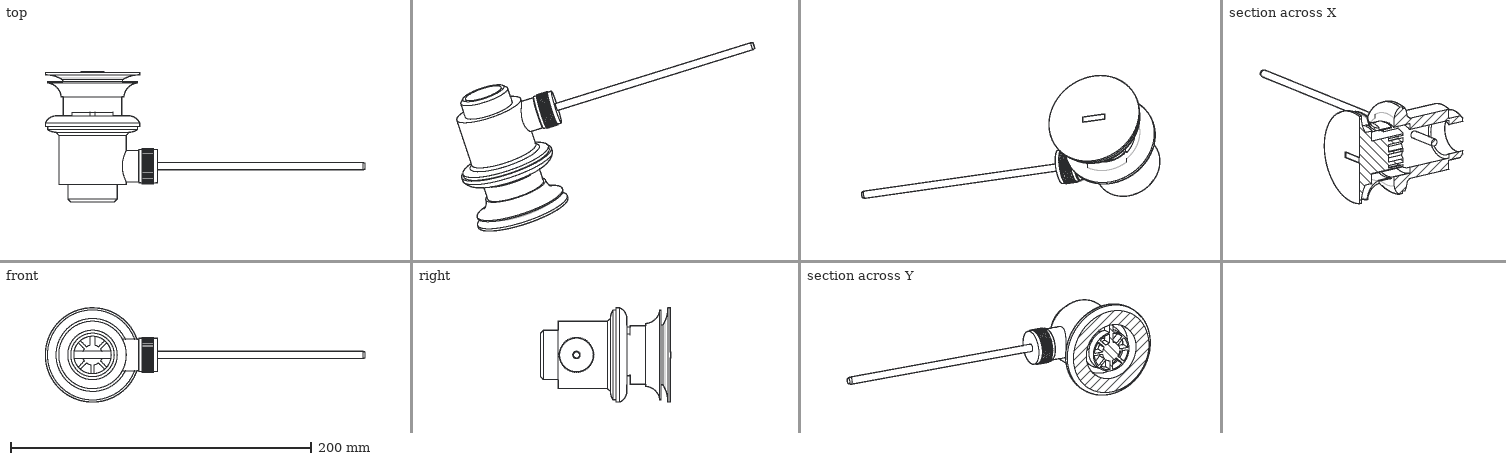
import cadquery as cq
import math


outlet_chamfer = 2.0
shoulder_y = 11.8
flare_start_y = 44.5
flare_end_y = 46.5
collar_bottom_y = 48.3
rim_bottom_y = 50.3
rim_top_y = 52.8
dome_top_y = 57.6
window_top_y = 59.8
funnel_bottom_y = 70.1
funnel_lip_y = 79.4
funnel_top_y = 80.3
cap_bottom_y = 84.8
cap_top_y = 86.5
total_height = 87.0

outlet_radius = 16.5
outlet_bore_radius = 12.5
body_radius = 22.5
flare_radius = 24.3
collar_radius = 30.0
rim_radius = 31.5
dome_top_radius = 23.0
tube_radius = 19.6
tube_bore_radius = 18.7
chamber_radius = 15.0
funnel_foot_radius = 21.0
funnel_lip_radius = 30.0
funnel_wall = 0.9

window_width = 27.4

lever_y = 24.0
arm_radius = 10.6
arm_end_x = 30.6
nut_radius = 11.2
nut_chamfer = 0.5
nut_end_x = 43.4
knurl_start_x = 33.1
knurl_end_x = 40.8
knurl_radius = 11.7
knurl_teeth = 60
lever_radius = 2.5
total_length = 213.14
lever_tip_x = total_length - rim_radius
lever_inner_x = -14.0
lever_tip_bevel_length = 1.5
lever_tip_bevel_depth = 0.5

cap_radius = rim_radius
cap_foot_radius = 22.5
cap_foot_y = 82.9
neck_flare_radius = 20.3
neck_top_y = 81.7
neck_radius = 20.0
neck_bottom_y = 76.0
cup_radius = 13.7
cup_bottom_y = 50.0
cup_floor_y = 62.0
hub_radius = 6.7
rib_count = 8
rib_width = 2.0
key_width = 3.2
key_radius = 18.6
badge_length = 15.4
badge_width = 3.8


def bulge_point(start, end, sagitta):
    """Mid-point of an arc from start to end, sagitta to the left of the chord."""
    dx = end[0] - start[0]
    dy = end[1] - start[1]
    chord = math.hypot(dx, dy)
    mid_x = (start[0] + end[0]) / 2 - sagitta * dy / chord
    mid_y = (start[1] + end[1]) / 2 + sagitta * dx / chord
    return (mid_x, mid_y)


def disc_y(radius, y_start, y_end):
    """Cylinder on the drain axis."""
    return cq.Workplane("XZ", origin=(0, y_start, 0)).circle(radius).extrude(y_start - y_end)


def rod_x(radius, x_start, x_end):
    """Cylinder on the lever axis."""
    return cq.Workplane("YZ", origin=(x_start, lever_y, 0)).circle(radius).extrude(x_end - x_start)


def housing_shell():
    """Outlet, body, collar, tube and funnel turned as one shape with the bore left open."""
    flare_end = (flare_radius, flare_end_y)
    collar_edge = (collar_radius, collar_bottom_y)
    dome_start = (rim_radius, rim_top_y)
    dome_end = (dome_top_radius, dome_top_y)
    foot = (funnel_foot_radius, funnel_bottom_y)
    lip = (funnel_lip_radius, funnel_lip_y)
    inner_lip = (funnel_lip_radius - funnel_wall, funnel_top_y)
    inner_foot = (tube_bore_radius, funnel_bottom_y)
    collar_sagitta = -0.4
    dome_sagitta = -1.6
    funnel_sagitta = 2.4
    profile = (
        cq.Workplane("XY")
        .moveTo(outlet_bore_radius, 0)
        .lineTo(outlet_radius - outlet_chamfer, 0)
        .lineTo(outlet_radius, outlet_chamfer)
        .lineTo(outlet_radius, shoulder_y)
        .lineTo(body_radius, shoulder_y)
        .lineTo(body_radius, flare_start_y)
        .lineTo(*flare_end)
        .threePointArc(bulge_point(flare_end, collar_edge, collar_sagitta), collar_edge)
        .lineTo(collar_radius, rim_bottom_y)
        .lineTo(rim_radius, rim_bottom_y)
        .lineTo(*dome_start)
        .threePointArc(bulge_point(dome_start, dome_end, dome_sagitta), dome_end)
        .lineTo(tube_radius, dome_top_y)
        .lineTo(tube_radius, funnel_bottom_y)
        .lineTo(*foot)
        .threePointArc(bulge_point(foot, lip, funnel_sagitta), lip)
        .lineTo(funnel_lip_radius, funnel_top_y)
        .lineTo(*inner_lip)
        .threePointArc(bulge_point(inner_lip, inner_foot, -funnel_sagitta), inner_foot)
        .lineTo(tube_bore_radius, flare_start_y)
        .lineTo(chamber_radius, flare_start_y)
        .lineTo(chamber_radius, shoulder_y)
        .lineTo(outlet_bore_radius, shoulder_y)
        .close()
    )
    return profile.revolve(360, (0, 0, 0), (0, 1, 0))


def overflow_windows():
    """One cutter passing through the tube wall on the +Z and -Z sides."""
    height = window_top_y - dome_top_y
    return (
        cq.Workplane("XY")
        .box(window_width, height, 2 * rim_radius)
        .translate((0, dome_top_y + height / 2, 0))
    )


def knurled_band():
    """Ring of pointed teeth around the nut."""
    points = []
    for step in range(2 * knurl_teeth):
        angle = math.pi * step / knurl_teeth
        radius = knurl_radius if step % 2 == 0 else nut_radius
        points.append((radius * math.cos(angle), radius * math.sin(angle)))
    band = cq.Workplane("YZ", origin=(knurl_start_x, lever_y, 0)).polyline(points).close()
    return band.extrude(knurl_end_x - knurl_start_x)


def lever():
    """Straight rod with a beveled free end."""
    profile = (
        cq.Workplane("XY")
        .moveTo(lever_inner_x, lever_y)
        .lineTo(lever_inner_x, lever_y + lever_radius)
        .lineTo(lever_tip_x - lever_tip_bevel_length, lever_y + lever_radius)
        .lineTo(lever_tip_x, lever_y + lever_radius - lever_tip_bevel_depth)
        .lineTo(lever_tip_x, lever_y)
        .close()
    )
    return profile.revolve(360, (lever_inner_x, lever_y, 0), (lever_tip_x, lever_y, 0))


def make_housing():
    arm = rod_x(arm_radius, 0, arm_end_x).cut(disc_y(chamber_radius, shoulder_y, flare_start_y))
    nut = rod_x(nut_radius, arm_end_x, nut_end_x).faces("<X").chamfer(nut_chamfer)
    return (
        housing_shell()
        .cut(overflow_windows())
        .union(arm)
        .union(nut)
        .union(knurled_band())
        .union(lever())
    )


def plug_turning():
    """Cap, neck and hollow guide cup turned as one shape."""
    cap_edge = (cap_radius, cap_bottom_y)
    cap_foot = (cap_foot_radius, cap_foot_y)
    cap_sagitta = -0.5
    profile = (
        cq.Workplane("XY")
        .moveTo(0, cap_top_y)
        .lineTo(cap_radius, cap_top_y)
        .lineTo(*cap_edge)
        .threePointArc(bulge_point(cap_edge, cap_foot, cap_sagitta), cap_foot)
        .lineTo(neck_flare_radius, neck_top_y)
        .lineTo(neck_radius, neck_top_y)
        .lineTo(neck_radius, neck_bottom_y)
        .lineTo(cup_radius, neck_bottom_y)
        .lineTo(cup_radius, cup_bottom_y)
        .lineTo(outlet_bore_radius, cup_bottom_y)
        .lineTo(outlet_bore_radius, cup_floor_y)
        .lineTo(0, cup_floor_y)
        .close()
    )
    return profile.revolve(360, (0, 0, 0), (0, 1, 0))


def radial_rib(width, outer_radius, turn):
    """Rib from the plug axis outward, at an angle about Y measured from +Z."""
    height = cup_floor_y - cup_bottom_y
    return (
        cq.Workplane("XY")
        .box(width, height, outer_radius)
        .translate((0, cup_bottom_y + height / 2, outer_radius / 2))
        .rotate((0, 0, 0), (0, 1, 0), turn)
    )


def make_plug():
    plug = plug_turning().union(disc_y(hub_radius, cup_bottom_y, cup_floor_y))
    rib_reach = (outlet_bore_radius + cup_radius) / 2
    for index in range(rib_count):
        plug = plug.union(radial_rib(rib_width, rib_reach, index * 360 / rib_count))
    plug = plug.union(radial_rib(key_width, key_radius, 0))
    badge_height = total_height - cap_top_y
    badge = (
        cq.Workplane("XY")
        .box(badge_length, badge_height, badge_width)
        .translate((0, cap_top_y + badge_height / 2, 0))
    )
    return plug.union(badge)


housing = make_housing()
plug = make_plug()

result = cq.Compound.makeCompound([housing.val(), plug.val()])